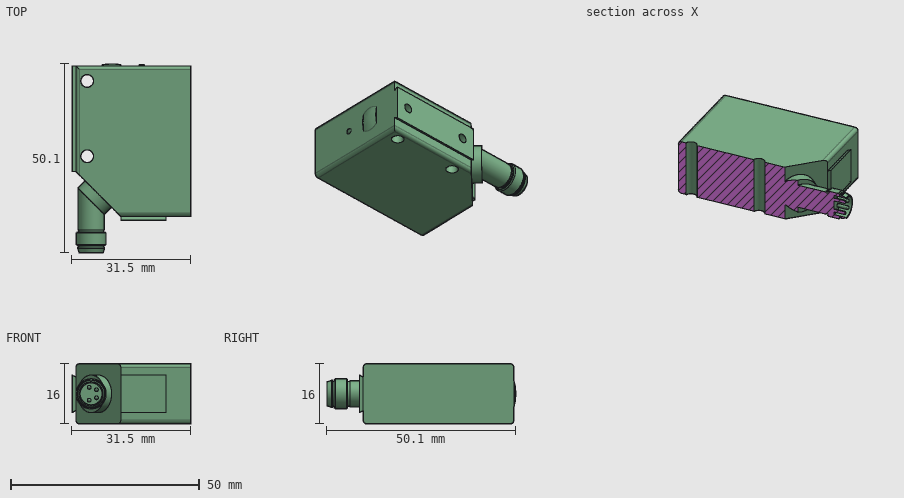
import cadquery as cq
import math

HOUSING_LENGTH = 30.5
HOUSING_WIDTH = 39.95
HOUSING_HEIGHT = 16.0
EDGE_RADIUS = 1.0
CORNER_CUT = 11.95

DOVETAIL_WIDTH = 10.0
DOVETAIL_THICKNESS = 1.0
DOVETAIL_UNDERCUT = 0.5
PAD_LENGTH = 12.05

MOUNT_HOLE_DIAMETER = 3.3
SIDE_HOLE_DIAMETER = 2.5
HOLE_INSET_X = 3.0
HOLE_INSET_Y = 4.0
HOLE_SPACING = 19.95

LENS_DIAMETER = 7.2
LENS_HEIGHT = 0.55
LENS_WINDOW_WIDTH = 5.0
LENS_X = 9.5
INDICATOR_DIAMETER = 1.5
INDICATOR_HEIGHT = 0.3
INDICATOR_EDGE_RADIUS = 0.25
INDICATOR_X = 17.45

BOSS_DIAMETER = 10.0
BOSS_HEIGHT = 2.7
PIPE_DIAMETER = 7.0
NECK_DIAMETER = 6.6
RING_DIAMETER = 8.0
RING_CHAMFER = 0.3
HEAD_DIAMETER = 7.2
TIP_DIAMETER = 6.4
PIPE_END_Y = -3.55
RING_START_Y = -4.1
RING_END_Y = -7.65
HEAD_START_Y = -8.1
TAPER_START_Y = -8.4
TIP_Y = -9.65

SOCKET_DIAMETER = 5.8
SOCKET_DEPTH = 3.5
PIN_DIAMETER = 1.0
PIN_NOSE_RADIUS = 0.49
PIN_RECESS = 0.2
PIN_CIRCLE_DIAMETER = 3.55
PIN_ANGLES = (37, 107, 253, 323)

CUT_MIDDLE = CORNER_CUT / 2
BOSS_SHIFT = BOSS_HEIGHT / math.sqrt(2)
PLUG_X = CUT_MIDDLE - BOSS_SHIFT
BOSS_FACE_Y = PLUG_X
REAR_HOLE_Y = HOUSING_WIDTH - HOLE_INSET_Y
HOLE_YS = (REAR_HOLE_Y, REAR_HOLE_Y - HOLE_SPACING)


def corner_wedge(setback):
    """Full-height block outside a 45 degree corner line."""
    reach = 2 * HOUSING_LENGTH
    return (
        cq.Workplane("XY")
        .polyline([(setback + reach, -reach), (-reach, setback + reach), (-reach, -reach)])
        .close()
        .extrude(HOUSING_HEIGHT, both=True)
    )


def make_housing():
    block = cq.Workplane("XY").box(
        HOUSING_LENGTH, HOUSING_WIDTH, HOUSING_HEIGHT, centered=(False, False, True)
    )
    long_edges = block.faces("<X or <Y or >Y").edges("(|X or |Y) and (>Z or <Z)")
    rounded = long_edges.fillet(EDGE_RADIUS)
    return rounded.cut(corner_wedge(CORNER_CUT))


def dovetail_outline(plane):
    """Closed dovetail section on a plane whose first axis points into the housing."""
    outer = DOVETAIL_WIDTH / 2
    inner = outer - DOVETAIL_UNDERCUT
    outline = [
        (0, inner),
        (-DOVETAIL_THICKNESS, outer),
        (-DOVETAIL_THICKNESS, -outer),
        (0, -inner),
    ]
    return plane.polyline(outline).close()


def make_rail():
    section_plane = cq.Workplane("XZ", origin=(0, HOUSING_WIDTH, 0))
    return dovetail_outline(section_plane).extrude(HOUSING_WIDTH - CORNER_CUT)


def make_pad():
    section_plane = cq.Workplane("YZ", origin=(CORNER_CUT, 0, 0))
    return dovetail_outline(section_plane).extrude(PAD_LENGTH)


def make_mounting_holes():
    """Through holes along Z, each met by a side hole from the rail face."""
    through = (
        cq.Workplane("XY")
        .pushPoints([(HOLE_INSET_X, y) for y in HOLE_YS])
        .circle(MOUNT_HOLE_DIAMETER / 2)
        .extrude(HOUSING_HEIGHT, both=True)
    )
    side = (
        cq.Workplane("YZ", origin=(-DOVETAIL_THICKNESS, 0, 0))
        .pushPoints([(y, 0) for y in HOLE_YS])
        .circle(SIDE_HOLE_DIAMETER / 2)
        .extrude(DOVETAIL_THICKNESS + HOLE_INSET_X)
    )
    return through.union(side)


def make_lens():
    """Shallow spherical cap trimmed to the window width."""
    lens_radius = LENS_DIAMETER / 2
    sphere_radius = (lens_radius**2 + LENS_HEIGHT**2) / (2 * LENS_HEIGHT)
    half_angle = math.asin(lens_radius / sphere_radius) / 2
    arc_middle = (
        sphere_radius * math.sin(half_angle),
        LENS_HEIGHT - sphere_radius * (1 - math.cos(half_angle)),
    )
    cap = (
        cq.Workplane("XY")
        .lineTo(lens_radius, 0)
        .threePointArc(arc_middle, (0, LENS_HEIGHT))
        .close()
        .revolve(360, (0, 0), (0, 1))
    )
    window = cq.Workplane("XY").box(LENS_WINDOW_WIDTH, LENS_DIAMETER, 2 * LENS_DIAMETER)
    return cap.intersect(window).translate((LENS_X, HOUSING_WIDTH, 0))


def make_indicator():
    return (
        cq.Workplane("XZ", origin=(INDICATOR_X, HOUSING_WIDTH, 0))
        .circle(INDICATOR_DIAMETER / 2)
        .extrude(-INDICATOR_HEIGHT)
        .faces(">Y")
        .edges()
        .fillet(INDICATOR_EDGE_RADIUS)
    )


def make_boss():
    cut_plane = cq.Plane(origin=(CUT_MIDDLE, CUT_MIDDLE, 0), xDir=(0, 0, 1), normal=(-1, -1, 0))
    return cq.Workplane(cut_plane).circle(BOSS_DIAMETER / 2).extrude(BOSS_HEIGHT)


def make_plug():
    """Turned plug along -Y, mitred where it meets the boss face."""
    pipe = PIPE_DIAMETER / 2
    neck = NECK_DIAMETER / 2
    ring = RING_DIAMETER / 2
    ring_edge = ring - RING_CHAMFER
    pipe_start_y = BOSS_FACE_Y + PIPE_DIAMETER
    profile = [
        (0, pipe_start_y),
        (pipe, pipe_start_y),
        (pipe, PIPE_END_Y),
        (neck, PIPE_END_Y),
        (neck, RING_START_Y),
        (ring_edge, RING_START_Y),
        (ring, RING_START_Y - RING_CHAMFER),
        (ring, RING_END_Y + RING_CHAMFER),
        (ring_edge, RING_END_Y),
        (neck, RING_END_Y),
        (neck, HEAD_START_Y),
        (HEAD_DIAMETER / 2, HEAD_START_Y),
        (HEAD_DIAMETER / 2, TAPER_START_Y),
        (TIP_DIAMETER / 2, TIP_Y),
        (0, TIP_Y),
    ]
    turned = cq.Workplane("XY").polyline(profile).close().revolve(360, (0, 0), (0, 1))
    socket = (
        cq.Workplane("XZ", origin=(0, TIP_Y + SOCKET_DEPTH, 0))
        .circle(SOCKET_DIAMETER / 2)
        .extrude(SOCKET_DEPTH)
    )
    plug = turned.cut(socket).translate((PLUG_X, 0, 0))
    return plug.intersect(corner_wedge(PLUG_X + BOSS_FACE_Y))


def make_pins():
    """Round-nosed contact pins standing on the socket floor."""
    pin_circle_radius = PIN_CIRCLE_DIAMETER / 2
    centres = []
    for angle in PIN_ANGLES:
        turn = math.radians(angle)
        centres.append((pin_circle_radius * math.cos(turn), pin_circle_radius * math.sin(turn)))
    return (
        cq.Workplane("XZ", origin=(PLUG_X, TIP_Y + SOCKET_DEPTH, 0))
        .pushPoints(centres)
        .circle(PIN_DIAMETER / 2)
        .extrude(SOCKET_DEPTH - PIN_RECESS)
        .faces("<Y")
        .edges()
        .fillet(PIN_NOSE_RADIUS)
    )


result = make_housing().union(make_rail()).union(make_pad())
result = result.union(make_lens()).union(make_indicator())
result = result.cut(make_mounting_holes())
result = result.union(make_boss()).union(make_plug()).union(make_pins())